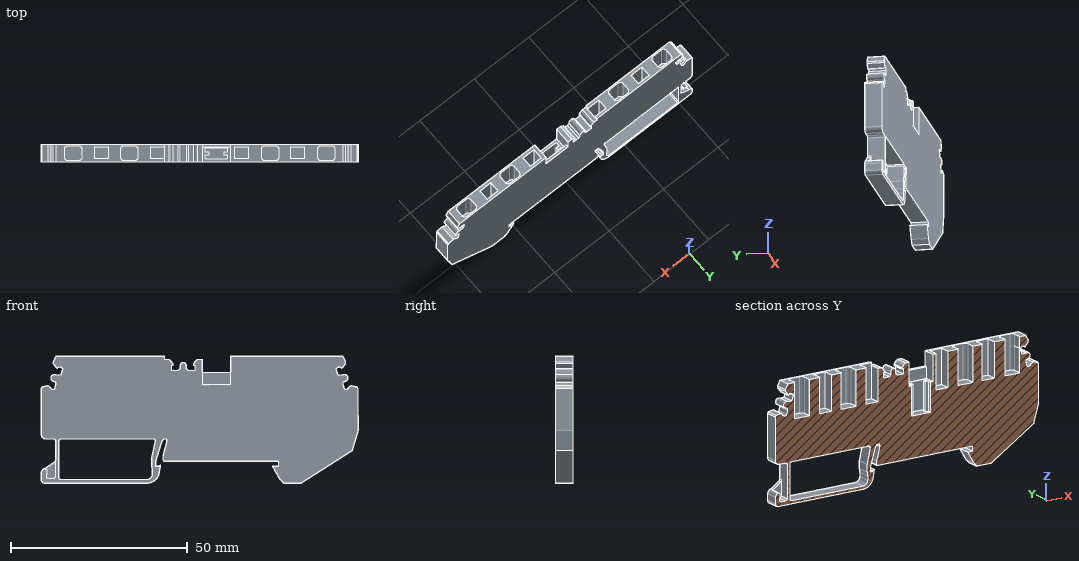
import cadquery as cq

LENGTH = 89.8
THICKNESS = 5.0
HEIGHT = 36.0

RIGHT_TOP_X = 89.6
RIGHT_BULGE_Z = 15.0
UNDERSIDE_Z = 12.5
RAIL_SEAT_Z = 6.2
LEFT_CORNER_RADIUS = 1.4
END_MIRROR_X = RIGHT_TOP_X / 2

HOLE_DEPTH = 10.8
SQUARE_HOLE_X = (17.15, 33.0, 56.75, 72.6)
SQUARE_HOLE_LENGTH = 3.95
SQUARE_HOLE_WIDTH = 3.2
SQUARE_HOLE_Y = 2.6
ROUND_HOLE_X = (9.1, 25.0, 64.8, 80.7)
ROUND_HOLE_LENGTH = 5.0
ROUND_HOLE_WIDTH = 4.1
ROUND_HOLE_RADIUS = 1.0

LAND_Z = 35.1
LAND_START_X = SQUARE_HOLE_X[1] + SQUARE_HOLE_LENGTH / 2
GROOVE_X = 40.2
GROOVE_FLOOR_Z = 32.0

NOTCH_LEFT = 45.6
NOTCH_RIGHT = 53.6
NOTCH_FLOOR_Z = 27.9
NOTCH_WALL_TOP_Z = 31.4
NOTCH_WALL_THICKNESS = 0.8
POCKET_LEFT = 46.4
POCKET_RIGHT = 52.8
POCKET_FRONT = 0.8
POCKET_BACK = 4.0
POCKET_DEPTH = 9.0
POCKET_CORNER_RADIUS = 0.45
TAB_LENGTH = 1.1
TAB_WIDTH = 0.8

STEM_LEFT = 4.1
STEM_RIGHT = 5.0
STEM_FILLET = 0.5
CLIP_FLOOR_TOP_Z = 1.1
FOOT_RADIUS = 1.1
WEB_THICKNESS = 1.1
WEB_TOP_Z = 6.65

OVERLAP = 0.9


def front_profile():
    """Sketch plane facing the front: local x is X, local y is Z."""
    return cq.Workplane("XZ")


def through(profile):
    """Extrude a closed front profile over the whole thickness."""
    return profile.extrude(-THICKNESS)


def block(x_min, x_max, y_min, y_max, z_min, z_max):
    """Axis-aligned block between the given limits."""
    size = (x_max - x_min, y_max - y_min, z_max - z_min)
    return cq.Workplane("XY").box(*size, centered=False).translate((x_min, y_min, z_min))


def housing():
    """Main plate with the hook for the rail at the lower right."""
    hook_root_x = 67.2
    hook_top_z = 4.85
    profile = (
        front_profile()
        .moveTo(0, UNDERSIDE_Z + LEFT_CORNER_RADIUS)
        .lineTo(0, HEIGHT)
        .lineTo(LAND_START_X, HEIGHT)
        .lineTo(LAND_START_X, LAND_Z)
        .lineTo(NOTCH_LEFT, LAND_Z)
        .lineTo(NOTCH_LEFT, NOTCH_FLOOR_Z)
        .lineTo(NOTCH_RIGHT, NOTCH_FLOOR_Z)
        .lineTo(NOTCH_RIGHT, HEIGHT)
        .lineTo(RIGHT_TOP_X, HEIGHT)
        .lineTo(LENGTH, RIGHT_BULGE_Z)
        .lineTo(88.1, 9.25)
        .lineTo(73.55, 0)
        .lineTo(68.7, 0)
        .lineTo(67.4, 1.35)
        .lineTo(65.5, hook_top_z)
        .lineTo(hook_root_x, hook_top_z)
        .lineTo(hook_root_x, RAIL_SEAT_Z)
        .lineTo(34.8, RAIL_SEAT_Z)
        .lineTo(34.5, 6.6)
        .lineTo(34.5, 7.7)
        .lineTo(35.6, 11.85)
        .lineTo(35.5, UNDERSIDE_Z)
        .lineTo(LEFT_CORNER_RADIUS, UNDERSIDE_Z)
        .radiusArc((0, UNDERSIDE_Z + LEFT_CORNER_RADIUS), LEFT_CORNER_RADIUS)
        .close()
    )
    return through(profile)


def end_teeth_cut():
    """Air around the two snap teeth at the upper left end."""
    tooth_top_x = 4.2
    profile = (
        front_profile()
        .moveTo(tooth_top_x, HEIGHT)
        .lineTo(3.4, 34.4)
        .lineTo(3.4, 33.85)
        .lineTo(4.5, 32.5)
        .threePointArc((5.2, 32.9), (6.1, 32.3))
        .lineTo(5.6, 30.7)
        .lineTo(4.2, 30.7)
        .threePointArc((2.8, 30.1), (3.6, 28.8))
        .lineTo(4.1, 28.6)
        .lineTo(4.1, 28.1)
        .lineTo(3.9, 27.0)
        .threePointArc((3.4, 26.6), (3.0, 26.8))
        .lineTo(2.5, 27.2)
        .lineTo(2.0, 27.7)
        .lineTo(0.2, 27.3)
        .lineTo(0, 26.85)
        .lineTo(-OVERLAP, 26.85)
        .lineTo(-OVERLAP, HEIGHT + OVERLAP)
        .lineTo(tooth_top_x, HEIGHT + OVERLAP)
        .close()
    )
    return through(profile)


def marker_groove_cut():
    """Undercut groove in the land, leaving a round-topped rib in its middle."""
    mouth = 4.0
    bevel = 3.6
    bevel_z = 34.75
    lip = 2.9
    wall = 3.3
    rib = 0.9
    rib_foot = 1.4
    rib_round_z = 33.3
    lip_bottom_z = 33.4
    lip_top_z = 33.85
    left, right = (
        [
            (GROOVE_X + side * mouth, LAND_Z + OVERLAP),
            (GROOVE_X + side * mouth, LAND_Z),
            (GROOVE_X + side * bevel, bevel_z),
            (GROOVE_X + side * lip, lip_top_z),
            (GROOVE_X + side * lip, lip_bottom_z),
            (GROOVE_X + side * wall, lip_bottom_z),
            (GROOVE_X + side * wall, GROOVE_FLOOR_Z),
            (GROOVE_X + side * rib_foot, GROOVE_FLOOR_Z),
            (GROOVE_X + side * rib, GROOVE_FLOOR_Z + rib_foot - rib),
            (GROOVE_X + side * rib, rib_round_z),
        ]
        for side in (-1, 1)
    )
    profile = (
        front_profile()
        .polyline(left)
        .threePointArc((GROOVE_X, rib_round_z + rib), right[-1])
    )
    for point in reversed(right[:-1]):
        profile = profile.lineTo(*point)
    return through(profile.close())


def wire_hole_cut(x, y, length, width):
    """Straight hole sunk from the top face."""
    return block(
        x - length / 2, x + length / 2,
        y - width / 2, y + width / 2,
        HEIGHT - HOLE_DEPTH, HEIGHT + OVERLAP,
    )


def notch_wall():
    """Thin wall that closes the back of the jumper notch."""
    return block(
        NOTCH_LEFT - OVERLAP, NOTCH_RIGHT + OVERLAP,
        THICKNESS - NOTCH_WALL_THICKNESS, THICKNESS,
        NOTCH_FLOOR_Z - OVERLAP, NOTCH_WALL_TOP_Z,
    )


def jumper_pocket_cut():
    """Pocket in the notch floor, with a tab standing in from each end."""
    bottom_z = NOTCH_FLOOR_Z - POCKET_DEPTH
    pocket = block(
        POCKET_LEFT, POCKET_RIGHT, POCKET_FRONT, POCKET_BACK, bottom_z, NOTCH_FLOOR_Z
    ).edges("|Z and <Y").fillet(POCKET_CORNER_RADIUS)
    tab_front = 2.1
    tab_back = tab_front + TAB_WIDTH
    for tab_left in (POCKET_LEFT, POCKET_RIGHT - TAB_LENGTH):
        tab = block(
            tab_left, tab_left + TAB_LENGTH, tab_front, tab_back, bottom_z, NOTCH_FLOOR_Z
        )
        pocket = pocket.cut(tab)
    return pocket


def rail_clip():
    """Stem, floor and springy arm of the clip, still without its window."""
    profile = (
        front_profile()
        .moveTo(FOOT_RADIUS, 0)
        .lineTo(30.2, 0)
        .threePointArc((32.5, 1.1), (33.5, 3.2))
        .lineTo(33.85, 5.2)
        .lineTo(33.1, 4.85)
        .lineTo(32.5, 4.85)
        .lineTo(32.5, 6.3)
        .lineTo(34.2, 11.85)
        .lineTo(34.7, UNDERSIDE_Z)
        .lineTo(34.7, UNDERSIDE_Z + OVERLAP)
        .lineTo(STEM_LEFT - STEM_FILLET, UNDERSIDE_Z + OVERLAP)
        .lineTo(STEM_LEFT - STEM_FILLET, UNDERSIDE_Z)
        .radiusArc((STEM_LEFT, UNDERSIDE_Z - STEM_FILLET), STEM_FILLET)
        .lineTo(STEM_LEFT, WEB_TOP_Z)
        .lineTo(3.9, 6.1)
        .lineTo(1.3, 4.3)
        .threePointArc((0.4, 3.8), (0, 3.05))
        .lineTo(0, FOOT_RADIUS)
        .radiusArc((FOOT_RADIUS, 0), -FOOT_RADIUS)
        .close()
    )
    return through(profile)


def clip_window_cut():
    """Opening enclosed by the clip and the underside of the housing."""
    corner = 0.4
    profile = (
        front_profile()
        .moveTo(STEM_RIGHT, CLIP_FLOOR_TOP_Z + corner)
        .lineTo(STEM_RIGHT, UNDERSIDE_Z - corner)
        .lineTo(STEM_RIGHT + corner, UNDERSIDE_Z)
        .lineTo(32.1, UNDERSIDE_Z)
        .lineTo(32.3, 12.1)
        .lineTo(31.25, 7.3)
        .lineTo(31.25, 4.9)
        .lineTo(31.4, 3.8)
        .lineTo(31.4, 2.5)
        .threePointArc((31.0, 1.5), (29.9, CLIP_FLOOR_TOP_Z))
        .lineTo(STEM_RIGHT + corner, CLIP_FLOOR_TOP_Z)
        .close()
    )
    return through(profile)


def foot_recess_cut():
    """Recess behind the foot lip; a thin web is left at the back."""
    lip_crest_x = 0.9
    profile = (
        front_profile()
        .moveTo(lip_crest_x, 4.1)
        .threePointArc((1.4, 3.95), (1.7, 3.4))
        .lineTo(1.7, 2.6)
        .lineTo(1.5, 2.3)
        .lineTo(1.5, 1.6)
        .lineTo(2.1, 1.35)
        .lineTo(3.5, 1.35)
        .lineTo(STEM_LEFT, 1.8)
        .lineTo(STEM_LEFT, WEB_TOP_Z + OVERLAP)
        .lineTo(lip_crest_x, WEB_TOP_Z + OVERLAP)
        .close()
    )
    return profile.extrude(-(THICKNESS - WEB_THICKNESS))


teeth = end_teeth_cut()
body = housing().cut(teeth)
body = body.cut(teeth.mirror("YZ", (END_MIRROR_X, 0, 0)))
body = body.cut(marker_groove_cut())

for hole_x in SQUARE_HOLE_X:
    body = body.cut(wire_hole_cut(hole_x, SQUARE_HOLE_Y, SQUARE_HOLE_LENGTH, SQUARE_HOLE_WIDTH))
for hole_x in ROUND_HOLE_X:
    hole = wire_hole_cut(hole_x, THICKNESS / 2, ROUND_HOLE_LENGTH, ROUND_HOLE_WIDTH)
    body = body.cut(hole.edges("|Z").fillet(ROUND_HOLE_RADIUS))

body = body.union(notch_wall())
body = body.cut(jumper_pocket_cut())

clip = rail_clip().cut(foot_recess_cut())
result = body.union(clip).cut(clip_window_cut())